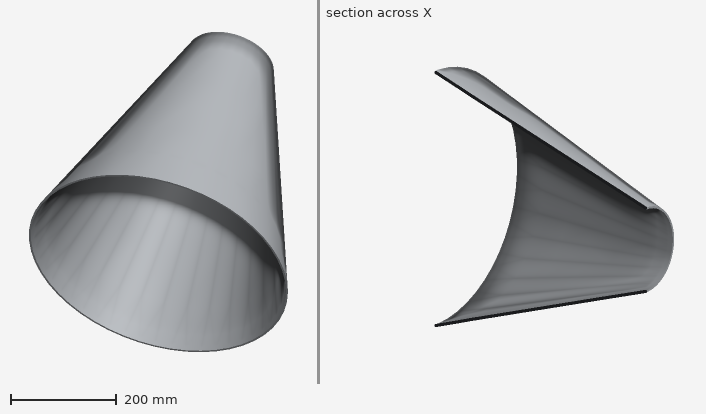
import cadquery as cq

large_diameter = 508.0
small_diameter = 168.3
wall = 4.0
length = 508.0

large_radius = large_diameter / 2
small_radius = small_diameter / 2


def conical_shell():
    """Revolve the wall section about Y, large end at Y = 0, small end at Y = length."""
    section = [
        (large_radius - wall, 0),
        (large_radius, 0),
        (small_radius, length),
        (small_radius - wall, length),
    ]
    return cq.Workplane("XY").polyline(section).close().revolve(360, (0, 0, 0), (0, 1, 0))


result = conical_shell()